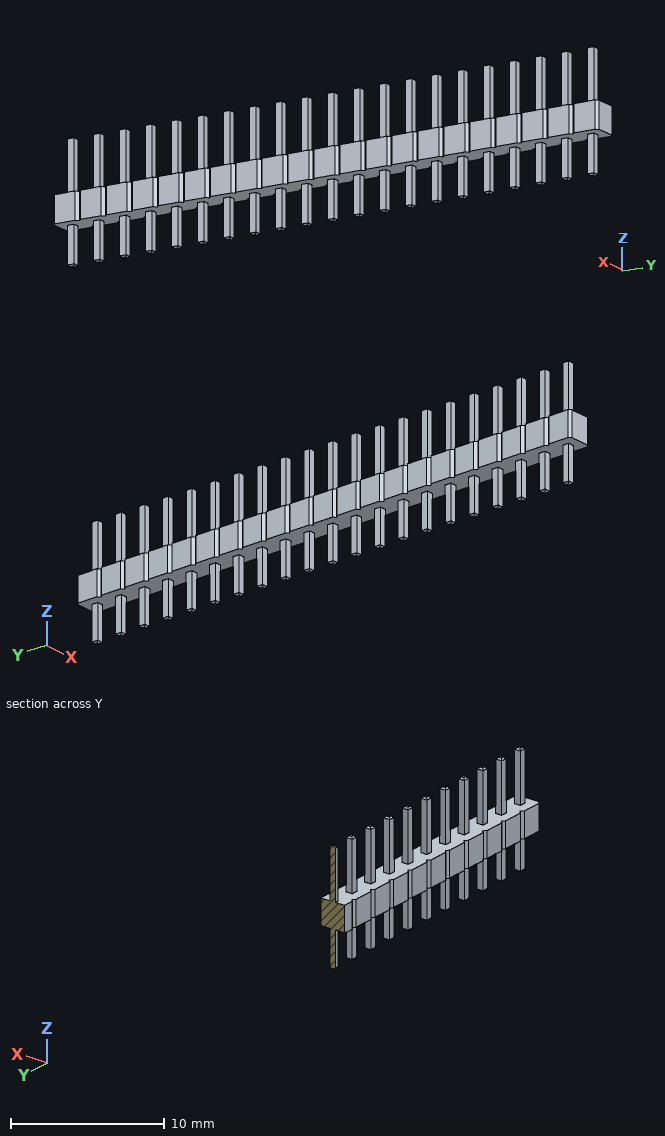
import cadquery as cq

pin_count = 21
row_length = 42.0
pitch = row_length / pin_count

cell_size = pitch
cell_chamfer = 0.2

pin_side = 0.5
pin_above = 2 * cell_size
pin_below = 2.8
pin_length = pin_below + cell_size + pin_above
tip_bevel = 0.13


def make_cell():
    """One housing cell standing on Z = 0."""
    cell = cq.Workplane("XY").box(cell_size, pitch, cell_size, centered=(True, True, False))
    return cell.edges("|Z").chamfer(cell_chamfer)


def make_pin():
    """One pin, bevelled at both ends."""
    pin = cq.Workplane("XY").workplane(offset=-pin_below).rect(pin_side, pin_side).extrude(pin_length)
    return pin.faces("<Z or >Z").edges().chamfer(tip_bevel)


cell_with_pin = make_cell().union(make_pin()).val()

result = (
    cq.Workplane("XY")
    .rarray(pitch, pitch, 1, pin_count)
    .eachpoint(lambda place: cell_with_pin.moved(place), combine=True, clean=True)
)